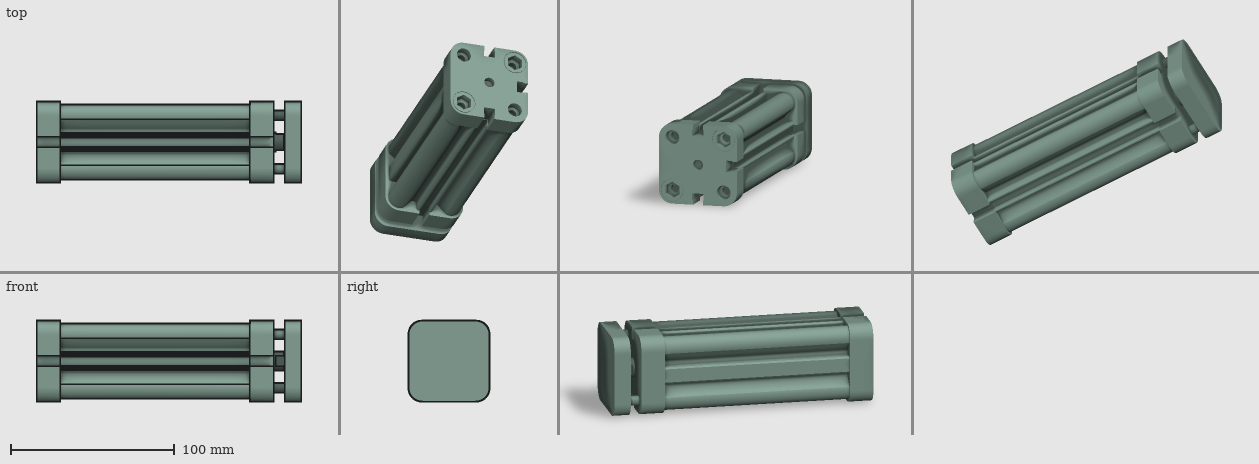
import cadquery as cq
import math


total_length = 161.5
width = 49.5
rear_cap_length = 14.5
tube_length = 115.5
front_cap_length = 14.7
plate_thickness = 10.2
front_cap_start = rear_cap_length + tube_length
housing_length = front_cap_start + front_cap_length
plate_start = total_length - plate_thickness

corner_pitch = 32.6
corner_offset = corner_pitch / 2
half_width = width / 2
corner_radius = half_width - corner_offset

column_radius = 6.8
web_offset = 8.7
valley_half = 7.8
valley_fillet = 1.3
rail_foot_half = 5.7
rail_foot_height = 17.5
rail_half = 5.2
rail_height = 22.8
rail_chamfer = 1.0

slot_sides = (0, 90, 180)
cap_slot_neck = 6.3
cap_slot_width = 7.3
cap_slot_floor = 17.8
cap_slot_shoulder = 22.0
tube_slot_mouth = 6.8
tube_slot_neck = 5.7
tube_slot_width = 6.3
tube_slot_floor = 18.2
tube_slot_shoulder = 21.6
tube_slot_lip = 22.3

thread_hole_diameter = 5.2
thread_hole_depth = 9.7
socket_size = 8.9
socket_depth = 5.3
ring_outer_diameter = 14.5
ring_depth = 0.6
port_diameter = 6.5
port_depth = 4.2

guide_rod_diameter = 6.0
piston_rod_diameter = 12.0
piston_rod_flats = 10.0
piston_rod_chamfer = 0.5
flats_gap = 1.3

guide_corners = [(-corner_offset, corner_offset), (corner_offset, -corner_offset)]
screw_corners = [(corner_offset, corner_offset), (-corner_offset, -corner_offset)]


def section(x):
    """Workplane across the stroke axis at x; local axes are Y and Z, normal is +X."""
    return cq.Workplane("YZ", origin=(x, 0, 0))


def rounded_block(start, length):
    block = section(start).rect(width, width).extrude(length)
    return block.edges("|X").fillet(corner_radius)


def turned(point, angle):
    """Turn a (Y, Z) point about the stroke axis."""
    c = math.cos(math.radians(angle))
    s = math.sin(math.radians(angle))
    return (point[0] * c - point[1] * s, point[0] * s + point[1] * c)


def make_tube():
    web_face_distance = web_offset / math.sqrt(2)
    outward = math.sqrt(column_radius**2 - web_face_distance**2)
    web_end_side = corner_offset + outward / math.sqrt(2) - web_offset / 2
    web_end = (web_end_side, web_end_side + web_offset)
    valley = (valley_half, valley_half + web_offset)
    half_side = [
        (rail_half - rail_chamfer, rail_height),
        (rail_half, rail_height - rail_chamfer),
        (rail_foot_half, rail_foot_height),
        valley,
        web_end,
    ]
    side = [(-y, z) for y, z in reversed(half_side)] + half_side
    column_tip = corner_offset + column_radius / math.sqrt(2)

    outline = section(rear_cap_length).moveTo(*side[0])
    for angle in (0, -90, -180, -270):
        for point in side[1:]:
            outline = outline.lineTo(*turned(point, angle))
        outline = outline.threePointArc(
            turned((column_tip, column_tip), angle), turned(side[0], angle - 90)
        )
    profile = outline.close().extrude(tube_length)

    valley_radius = math.hypot(*valley)
    valley_edges = profile.edges("|X").filter(
        lambda edge: abs(math.hypot(edge.Center().y, edge.Center().z) - valley_radius) < 0.02
    )
    return valley_edges.fillet(valley_fillet)


def slot(half_points, start, length, angle):
    """Symmetric slot through the +Z side, given its right half, turned about X."""
    points = half_points + [(-y, z) for y, z in reversed(half_points)]
    cutter = section(start).polyline(points).close().extrude(length)
    return cutter.rotate((0, 0, 0), (1, 0, 0), angle)


def cut_slots(body):
    cap_half = [
        (cap_slot_neck / 2, half_width),
        (cap_slot_neck / 2, cap_slot_shoulder),
        (cap_slot_width / 2, cap_slot_shoulder),
        (cap_slot_width / 2, cap_slot_floor),
    ]
    tube_half = [
        (tube_slot_mouth / 2, rail_height),
        (tube_slot_neck / 2, tube_slot_lip),
        (tube_slot_neck / 2, tube_slot_shoulder),
        (tube_slot_width / 2, tube_slot_shoulder),
        (tube_slot_width / 2, tube_slot_floor),
    ]
    for angle in slot_sides:
        body = body.cut(slot(cap_half, 0, rear_cap_length, angle))
        body = body.cut(slot(cap_half, front_cap_start, front_cap_length, angle))
        body = body.cut(slot(tube_half, rear_cap_length, tube_length, angle))
    return body


def cut_rear_face(body):
    corners = guide_corners + screw_corners
    thread_holes = section(0).pushPoints(corners).circle(thread_hole_diameter / 2)
    body = body.cut(thread_holes.extrude(thread_hole_depth))
    counterbores = section(0).pushPoints(screw_corners).circle(socket_size / 2)
    body = body.cut(counterbores.extrude(socket_depth))

    hexagon_diameter = socket_size / math.cos(math.radians(30))
    for y, z in guide_corners:
        hexagon = section(0).polygon(6, hexagon_diameter).extrude(socket_depth)
        body = body.cut(hexagon.rotate((0, 0, 0), (1, 0, 0), 90).translate((0, y, z)))
    rings = section(0).pushPoints(guide_corners).circle(ring_outer_diameter / 2)
    body = body.cut(rings.circle(column_radius).extrude(ring_depth))
    return body.cut(section(0).circle(port_diameter / 2).extrude(port_depth))


def cut_rod_bores(body):
    piston_bore = section(front_cap_start).circle(piston_rod_diameter / 2)
    guide_bores = section(front_cap_start).pushPoints(guide_corners).circle(guide_rod_diameter / 2)
    body = body.cut(piston_bore.extrude(front_cap_length))
    return body.cut(guide_bores.extrude(front_cap_length))


def make_housing():
    body = rounded_block(0, rear_cap_length)
    body = body.union(make_tube())
    body = body.union(rounded_block(front_cap_start, front_cap_length))
    body = cut_slots(body)
    body = cut_rear_face(body)
    return cut_rod_bores(body)


def make_piston_rod():
    rod = section(front_cap_start).circle(piston_rod_diameter / 2)
    rod = rod.extrude(plate_start - front_cap_start)
    rod = rod.faces(">X").chamfer(piston_rod_chamfer)
    flats_start = housing_length + flats_gap
    flats = section(flats_start).rect(piston_rod_diameter, piston_rod_diameter)
    flats = flats.rect(piston_rod_flats, piston_rod_diameter).extrude(plate_start - flats_start)
    return rod.cut(flats)


def make_guide_rod(y, z):
    rod = section(front_cap_start).center(y, z).circle(guide_rod_diameter / 2)
    return rod.extrude(plate_start - front_cap_start)


housing = make_housing()
piston_rod = make_piston_rod()
guide_rods = [make_guide_rod(y, z) for y, z in guide_corners]
yoke_plate = rounded_block(plate_start, plate_thickness)

result = cq.Compound.makeCompound(
    [housing.val(), piston_rod.val(), *[rod.val() for rod in guide_rods], yoke_plate.val()]
)